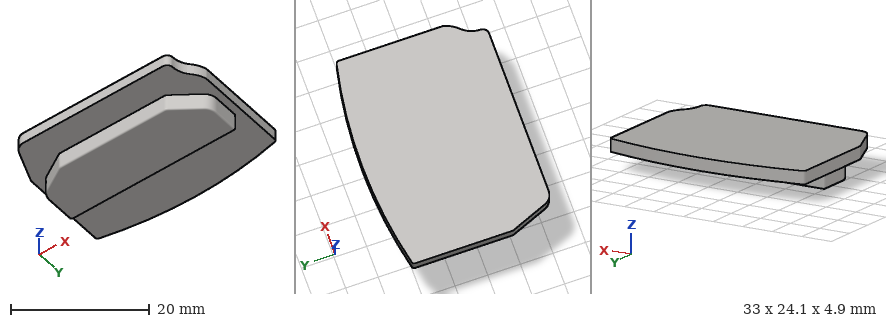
import cadquery as cq

plate_length = 33.0
plate_width = 24.12
plate_thickness = 2.0
half_length = plate_length / 2
crown_corner_y = 22.25
crown_corner_radius = 0.43
slant_top_y = 6.9
slant_bottom_x = -13.75
slant_top_radius = 0.6
slant_bottom_radius = 2.0

neck_x = 14.15
neck_corner_radius = 1.0
hollow_end = (14.95, 3.35)
flank_end = (15.38, 3.85)
shoulder_start = (15.6, 4.12)
shoulder_middle = (16.15, 4.95)
shoulder_top_y = 5.95

total_height = 4.9
boss_height = total_height - plate_thickness
boss_half_length = 15.15
boss_back_y = 14.55
boss_front_y = 4.95
boss_front_half_length = 9.77
boss_left_slant_y = 8.12
boss_right_slant_y = 8.85
boss_back_radius = 0.33
boss_side_radius = 2.3
boss_front_radius = 1.0
boss_edge_radius = 0.3


def round_corner(body, x, y, radius):
    """Round the vertical edge nearest to the given outline corner."""
    edge = cq.selectors.NearestToPointSelector((x, y, body.val().Center().z))
    return body.edges("|Z").edges(edge).fillet(radius)


def make_plate():
    plate = (
        cq.Workplane("XY")
        .workplane(offset=boss_height)
        .moveTo(slant_bottom_x, 0)
        .lineTo(neck_x - neck_corner_radius, 0)
        .tangentArcPoint((neck_x, neck_corner_radius), relative=False)
        .tangentArcPoint(hollow_end, relative=False)
        .lineTo(*flank_end)
        .lineTo(*shoulder_start)
        .threePointArc(shoulder_middle, (half_length, shoulder_top_y))
        .lineTo(half_length, crown_corner_y)
        .threePointArc((0, plate_width), (-half_length, crown_corner_y))
        .lineTo(-half_length, slant_top_y)
        .close()
        .extrude(plate_thickness)
    )
    for x, y, radius in (
        (slant_bottom_x, 0, slant_bottom_radius),
        (half_length, crown_corner_y, crown_corner_radius),
        (-half_length, crown_corner_y, crown_corner_radius),
        (-half_length, slant_top_y, slant_top_radius),
    ):
        plate = round_corner(plate, x, y, radius)
    return plate


def make_boss():
    corners = (
        (-boss_front_half_length, boss_front_y, boss_front_radius),
        (boss_front_half_length, boss_front_y, boss_front_radius),
        (boss_half_length, boss_right_slant_y, boss_side_radius),
        (boss_half_length, boss_back_y, boss_back_radius),
        (-boss_half_length, boss_back_y, boss_back_radius),
        (-boss_half_length, boss_left_slant_y, boss_side_radius),
    )
    outline = [(x, y) for x, y, _ in corners]
    boss = cq.Workplane("XY").polyline(outline).close().extrude(boss_height)
    for x, y, radius in corners:
        boss = round_corner(boss, x, y, radius)
    return boss.faces("<Z").edges().fillet(boss_edge_radius)


result = make_plate().union(make_boss())